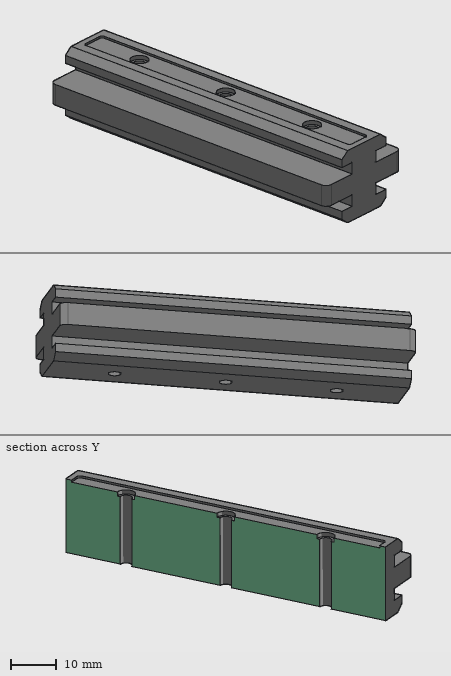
import cadquery as cq

length = 80.0
flange_width = 25.0
height = 17.5

flange_thickness = 5.0
flange_corner_radius = 1.5
web_width = 7.9
head_width = 14.8
head_height = 3.4
head_chamfer_width = 1.9
head_chamfer_height = 1.5

recess_margin = 1.5
recess_width = 6.1
recess_depth = 0.5
recess_corner_radius = 0.7

hole_count = 3
hole_spacing = 25.0
hole_diameter = 2.8
counterbore_diameter = 4.2
counterbore_depth = 1.0

top = height / 2
recess_floor = top - recess_depth


def make_flange():
    flange = cq.Workplane("XY").box(length, flange_width, flange_thickness)
    return flange.edges("|Z").fillet(flange_corner_radius)


def make_web():
    return cq.Workplane("XY").box(length, web_width, height)


def make_head():
    """Upper head: a full-length bar with its two outer top edges chamfered."""
    half_width = head_width / 2
    half_flat = half_width - head_chamfer_width
    underside = top - head_height
    chamfer_base = top - head_chamfer_height
    outline = [
        (-half_width, underside),
        (half_width, underside),
        (half_width, chamfer_base),
        (half_flat, top),
        (-half_flat, top),
        (-half_width, chamfer_base),
    ]
    return cq.Workplane("YZ").polyline(outline).close().extrude(length / 2, both=True)


def make_recess():
    recess = (
        cq.Workplane("XY", origin=(0, 0, recess_floor))
        .rect(length - 2 * recess_margin, recess_width)
        .extrude(recess_depth)
    )
    return recess.edges("|Z").fillet(recess_corner_radius)


def drill_holes(body):
    return (
        body.cut(make_recess())
        .copyWorkplane(cq.Workplane("XY", origin=(0, 0, recess_floor)))
        .rarray(hole_spacing, 0.8, hole_count, 1)
        .cboreHole(hole_diameter, counterbore_diameter, counterbore_depth)
    )


head = make_head()
body = make_flange().union(make_web()).union(head).union(head.mirror("XY"))
result = drill_holes(body)